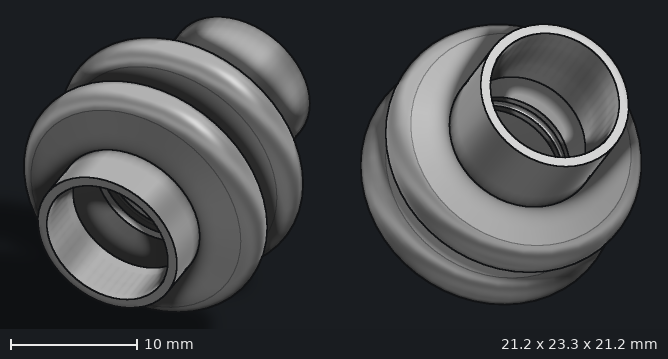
import cadquery as cq
import math

bore_radius = 5.375
wall = 0.8
tube_radius = bore_radius + wall
overall_length = 23.34
front_tube_length = 4.0

crest_round = 1.8
crest_outer_radius = 10.585
crest_center_radius = crest_outer_radius - crest_round
front_cone_angle = math.radians(17)
back_cone_angle = math.radians(13)

front_half_lip_radius = 5.6
rear_half_lip_radius = 5.7

convolution_pitch = 6.33


def cone_offset(radius, angle, round_radius):
    """Axial distance from the crest center to a cone tangent to the crest round, at a given radius."""
    return round_radius / math.cos(angle) + (crest_center_radius - radius) * math.tan(angle)


def tangent_point(crest_y, side, angle, round_radius):
    """Point where the cone on one side (-1 front, +1 back) runs into the crest round."""
    radius = crest_center_radius + round_radius * math.sin(angle)
    return radius, crest_y + side * round_radius * math.cos(angle)


def add_crest(profile, crest_y, round_radius):
    """Draw the front cone and the crest arc, up to the start of the back cone."""
    arc_start = tangent_point(crest_y, -1, front_cone_angle, round_radius)
    arc_top = (crest_center_radius + round_radius, crest_y)
    arc_end = tangent_point(crest_y, 1, back_cone_angle, round_radius)
    return profile.lineTo(*arc_start).threePointArc(arc_top, arc_end)


def revolve_about_y(profile):
    """Turn a closed profile of (radius, y) points a full turn about the Y axis."""
    return profile.close().revolve(360, (0, 0, 0), (0, 1, 0))


def hollow_convolution(crest_y):
    """Annular cavity that leaves an even wall inside the convolution, open to the bore."""
    cavity_round = crest_round - wall
    front_y = crest_y - cone_offset(bore_radius, front_cone_angle, cavity_round)
    back_y = crest_y + cone_offset(bore_radius, back_cone_angle, cavity_round)
    profile = cq.Workplane("XY").moveTo(0, front_y).lineTo(bore_radius, front_y)
    profile = add_crest(profile, crest_y, cavity_round)
    profile = profile.lineTo(bore_radius, back_y).lineTo(0, back_y)
    return revolve_about_y(profile)


def bellows_half(crest_y, front_radius, front_tube_end, back_radius, back_tube_end):
    """One convolution cut off at the given radii, plus a tube wherever a tube end is given."""
    front_cone_y = crest_y - cone_offset(front_radius, front_cone_angle, crest_round)
    back_cone_y = crest_y + cone_offset(back_radius, back_cone_angle, crest_round)

    front_end = front_cone_y if front_tube_end is None else front_tube_end
    back_end = back_cone_y if back_tube_end is None else back_tube_end

    profile = cq.Workplane("XY").moveTo(bore_radius, front_end).lineTo(front_radius, front_end)
    if front_tube_end is not None:
        profile = profile.lineTo(front_radius, front_cone_y)
    profile = add_crest(profile, crest_y, crest_round).lineTo(back_radius, back_cone_y)
    if back_tube_end is not None:
        profile = profile.lineTo(back_radius, back_end)
    profile = profile.lineTo(bore_radius, back_end)
    return revolve_about_y(profile).cut(hollow_convolution(crest_y))


front_crest_y = front_tube_length + cone_offset(tube_radius, front_cone_angle, crest_round)
rear_crest_y = front_crest_y + convolution_pitch

front_half = bellows_half(front_crest_y, tube_radius, 0, front_half_lip_radius, None)
rear_half = bellows_half(rear_crest_y, rear_half_lip_radius, None, tube_radius, overall_length)

result = cq.Compound.makeCompound([front_half.val(), rear_half.val()])